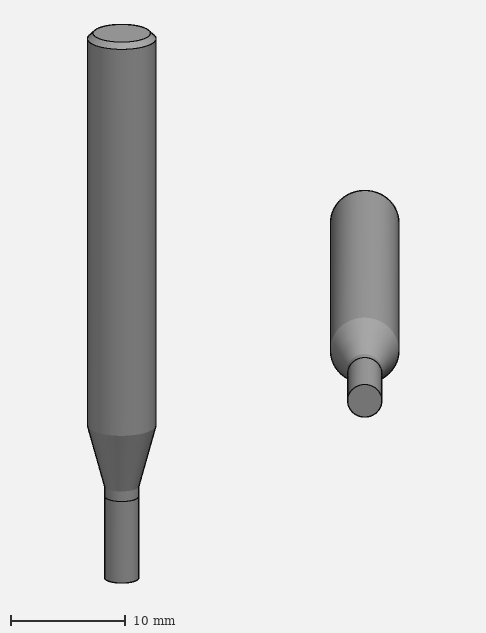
import cadquery as cq
import math

total_length = 50.0
shank_diameter = 6.0
tip_diameter = 3.0

cutter_length = 7.5
shank_start = 14.0
end_chamfer = 0.5

taper_half_angle = math.radians(15.0)

shank_radius = shank_diameter / 2
tip_radius = tip_diameter / 2
taper_length = (shank_radius - tip_radius) / math.tan(taper_half_angle)
taper_start = shank_start - taper_length


def make_cutter():
    """Plain cylindrical cutting end, from the tip up to the neck."""
    return cq.Workplane("XY").circle(tip_radius).extrude(cutter_length)


def make_shank():
    """Short neck, taper and chamfered shank, turned from one half profile."""
    return (
        cq.Workplane("XZ")
        .moveTo(0, cutter_length)
        .lineTo(tip_radius, cutter_length)
        .lineTo(tip_radius, taper_start)
        .lineTo(shank_radius, shank_start)
        .lineTo(shank_radius, total_length - end_chamfer)
        .lineTo(shank_radius - end_chamfer, total_length)
        .lineTo(0, total_length)
        .close()
        .revolve(360, (0, 0, 0), (0, 1, 0))
    )


cutter = make_cutter()
shank = make_shank()

result = cq.Compound.makeCompound([cutter.val(), shank.val()])